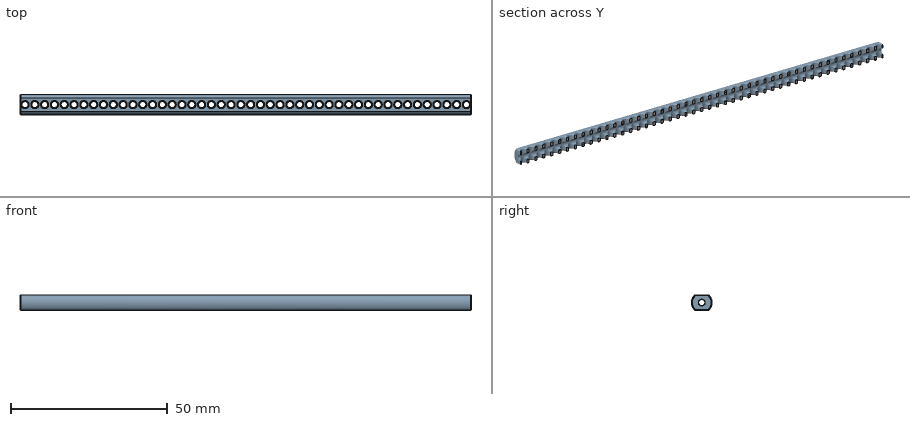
import cadquery as cq

hole_count = 46
hole_pitch = 3.125
rod_diameter = 6.6
height_across_flats = 5.0
hole_diameter = 2.0
hole_chamfer = 0.3
bore_diameter = 2.0
end_chamfer = 0.3

rod_length = hole_count * hole_pitch


def flatted_rod():
    """Round bar along X with flats on top and bottom, chamfered all round at both ends."""
    bar = cq.Workplane("YZ").circle(rod_diameter / 2).extrude(rod_length / 2, both=True)
    flats = cq.Workplane("XY").box(rod_length, rod_diameter, height_across_flats)
    return bar.intersect(flats).faces("<X or >X").chamfer(end_chamfer)


def axial_bore():
    """Straight bore running the full length of the rod."""
    return cq.Workplane("YZ").circle(bore_diameter / 2).extrude(rod_length / 2, both=True)


def cross_holes():
    """Evenly spaced row of holes through both flats, chamfered at both mouths."""
    half_height = height_across_flats / 2
    hole_radius = hole_diameter / 2
    mouth_radius = hole_radius + hole_chamfer
    cutter = (
        cq.Workplane("XZ")
        .moveTo(0, -half_height)
        .lineTo(mouth_radius, -half_height)
        .lineTo(hole_radius, -half_height + hole_chamfer)
        .lineTo(hole_radius, half_height - hole_chamfer)
        .lineTo(mouth_radius, half_height)
        .lineTo(0, half_height)
        .close()
        .revolve(360, (0, 0), (0, 1))
        .val()
    )
    return (
        cq.Workplane("XY")
        .rarray(hole_pitch, 1, hole_count, 1)
        .eachpoint(cutter, combine=False)
        .combine()
    )


result = flatted_rod().cut(axial_bore()).cut(cross_holes())